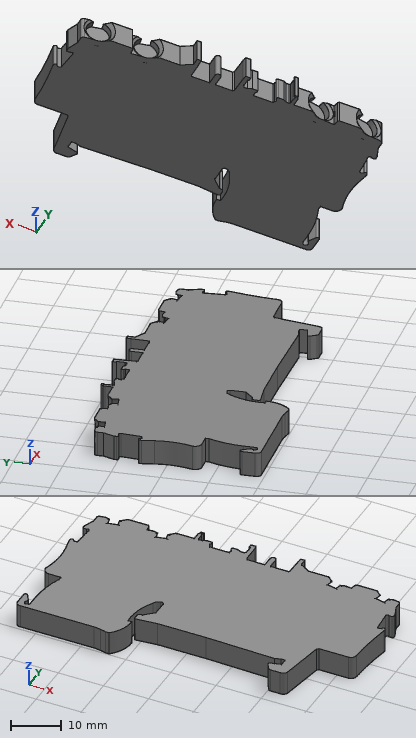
import cadquery as cq
import math

half_length = 34.9
height = 39.5
thickness = 5.2

terrace_level = 36.45
shelf_level = 35.0
shelf_lip_level = 35.1
saddle_level = 35.2
saddle_rim_level = 36.9
pin_floor_level = 34.6
step_level = 35.55
tooth_level = 29.8
ear_base_y = 24.8
left_underside = 12.8
right_underside = 13.55
base_level = 0.5
rail_level = 6.65
rail_crown_level = 7.05
claw_level = 2.8

shoulder_x = 33.5
shelf_start_x = 32.1
terrace_start_x = 27.4
terrace_end_x = 23.05
wall_x = 9.1
wall_thickness = 1.05
pin_x = 4.25
pin_width = 1.25

terrace_pitch = 10.7

hole_radius = 2.6
bore_depth = 1.4
hole_tilt = 12.0
hole_floor_x = 29.6
hole_floor_y = 33.75
hole_z = 2.8
countersink_depth = 0.85
countersink_radius = hole_radius + countersink_depth


def line(x, y):
    return ((x, y),)


def arc(through_x, through_y, x, y):
    return ((through_x, through_y), (x, y))


def polyline(*points):
    return [line(x, y) for x, y in points]


def mirrored(start, path):
    """The path reflected in X = 0 and run backwards; it ends at the reflected start."""
    ends = [start] + [step[-1] for step in path]
    steps = []
    for index in reversed(range(len(path))):
        points = path[index][:-1] + (ends[index],)
        steps.append(tuple((-x, y) for x, y in points))
    return steps


def side_edge():
    """Left edge from the ear up to the shoulder, past the latch tooth."""
    return [
        line(-half_length, 25.2),
        arc(-34.6, 25.6, -34.15, 25.3),
        arc(-33.75, 25.1, -33.25, 25.3),
        line(-32.9, 29.6),
        arc(-33.2, 30.0, -33.5, tooth_level),
        line(-34.15, tooth_level),
        arc(-34.4, 29.9, -34.45, 30.1),
        line(-34.45, 30.65),
        line(-shoulder_x, 33.0),
        line(-shoulder_x, 34.3),
        arc(-33.4, 34.8, -33.0, shelf_level),
    ]


def terrace_rise(offset):
    """Wire entry: a nearly flat shelf sweeping up to a terrace, moved inward by the offset."""
    return [
        line(-shelf_start_x + offset, shelf_lip_level),
        arc(-30.6 + offset, 35.3, -29.4 + offset, step_level),
        line(-28.6 + offset, 36.05),
        arc(-28.0 + offset, 36.3, -terrace_start_x + offset, terrace_level),
    ]


def terrace_end():
    """Inner end of the outer terrace, down to the next shelf."""
    return polyline((-terrace_end_x, terrace_level), (-22.85, 36.2), (-22.6, shelf_level))


def shoulder():
    """Left edge, outer terrace and the rise to the inner terrace."""
    return side_edge() + terrace_rise(0) + terrace_end() + terrace_rise(terrace_pitch)


def hook_and_saddle():
    """Thin hook, marker saddle with two snap lips, and the left wall of the pin pocket."""
    hook_top = 39.0
    hook = [
        line(-12.9, terrace_level),
        line(-12.9, 38.1),
        arc(-12.85, 38.4, -12.7, 38.55),
        line(-12.65, hook_top),
        line(-11.9, hook_top),
        line(-11.9, 38.55),
        line(-12.3, 38.55),
        line(-12.1, 37.8),
        line(-12.1, 36.75),
    ]
    saddle = [
        line(-11.9, terrace_level),
        line(-11.2, 36.5),
        line(-10.5, saddle_rim_level),
        line(-9.3, saddle_rim_level),
        arc(-8.95, 36.6, -9.1, 36.25),
        arc(-9.3, 35.9, -9.1, 35.6),
        line(-8.95, saddle_level),
        line(-4.55, saddle_level),
        line(-4.5, 36.05),
        line(-4.75, 36.3),
        line(-4.7, saddle_rim_level),
        line(-3.5, saddle_rim_level),
        line(-2.6, terrace_level),
        line(-1.8, terrace_level),
    ]
    left_wall = polyline(
        (-1.55, saddle_rim_level), (-1.55, 38.6), (-1.8, 38.6), (-1.8, height),
        (-0.7, height), (-0.55, 38.55), (-0.5, 34.85), (-0.2, pin_floor_level),
    )
    return hook + saddle + left_wall


def pin_and_wall():
    """Round-topped pin, the pocket floor and the right wall sloping down to the terrace."""
    pin_left = pin_x - pin_width / 2
    pin_right = pin_x + pin_width / 2
    pin_shoulder = 36.95
    pin = [
        line(pin_left, pin_floor_level),
        line(pin_left, pin_shoulder),
        arc(pin_x, pin_shoulder + pin_width / 2, pin_right, pin_shoulder),
        line(pin_right, pin_floor_level),
    ]
    wall = polyline(
        (wall_x - 0.15, pin_floor_level), (wall_x, 34.8), (wall_x + 0.1, 38.4), (wall_x + 0.15, height),
        (wall_x + wall_thickness, height), (wall_x + wall_thickness, 37.85), (12.4, terrace_level),
    )
    return pin + wall


def right_claw():
    """Right flank, underside and the fixed claw that grips the rail."""
    return [
        arc(34.1, 19.4, 33.75, 14.75),
        arc(33.4, 13.9, 32.55, right_underside),
        line(26.05, right_underside),
        line(25.65, 13.2),
        line(23.95, 3.6),
        arc(23.55, 3.0, 22.6, claw_level),
        line(20.55, claw_level),
        arc(20.25, 2.85, 20.05, 3.1),
        line(19.3, 4.25),
        arc(19.2, 4.7, 19.55, 4.9),
        line(21.7, 5.45),
        line(21.7, rail_crown_level),
        line(20.8, rail_crown_level),
        line(19.55, rail_level),
    ]


def rail_seat():
    """Slightly crowned rail seat and the pointed nose beside the spring slot."""
    return [
        line(4.2, rail_crown_level),
        line(-6.6, rail_crown_level),
        line(-11.2, 6.6),
        arc(-11.45, 6.7, -11.5, 7.0),
        line(-11.5, 7.55),
        arc(-11.4, 8.1, -10.8, 8.4),
        line(-10.55, 8.4),
        line(-8.5, 10.3),
    ]


def spring_foot():
    """Spring slot, rounded toe, flat base and the small release hook at the far left."""
    return [
        line(-8.5, 13.5),
        arc(-8.7, 13.9, -9.3, 14.0),
        arc(-10.0, 13.6, -10.5, 12.9),
        arc(-11.95, 9.6, -12.3, 5.4),
        line(-11.45, 5.4),
        arc(-12.15, 2.2, -13.8, 0.0),
        line(-14.6, 0.0),
        line(-15.85, 0.3),
        arc(-16.6, 0.4, -17.45, base_level),
        line(-33.7, base_level),
        arc(-34.6, 0.8, -34.85, 1.55),
        line(-34.85, 4.2),
        arc(-34.5, 4.7, -34.1, 4.5),
        line(-33.1, 2.85),
        line(-33.5, 2.2),
        arc(-33.0, 1.55, -32.35, 2.1),
        line(-32.35, 4.6),
        arc(-31.9, 8.4, -30.8, 12.0),
        line(-30.8, left_underside),
        line(-33.5, left_underside),
        arc(-34.5, 13.2, -half_length, 14.3),
        arc(-34.15, 18.5, -34.45, 22.35),
        line(-half_length, ear_base_y),
    ]


def housing():
    ear = (-half_length, ear_base_y)
    path = shoulder() + hook_and_saddle() + pin_and_wall()
    right_shoulder = mirrored(ear, shoulder())
    path += [line(terrace_start_x - terrace_pitch, terrace_level)] + right_shoulder
    path += right_claw() + rail_seat() + spring_foot()

    outline = cq.Workplane("XY").moveTo(*ear)
    for step in path:
        if len(step) == 1:
            outline = outline.lineTo(*step[0])
        else:
            outline = outline.threePointArc(*step)
    return outline.close().extrude(thickness)


def wire_hole(offset):
    """Cutter for a left-half blind hole with a 45 degree countersink, moved inward by the offset."""
    tilt = math.radians(hole_tilt)
    floor_center = cq.Vector(-hole_floor_x + offset, hole_floor_y, hole_z)
    axis = cq.Vector(-math.sin(tilt), math.cos(tilt), 0)
    bore_top = floor_center + axis * bore_depth
    bore = cq.Solid.makeCylinder(hole_radius, bore_depth, floor_center, axis)
    countersink = cq.Solid.makeCone(hole_radius, countersink_radius, countersink_depth, bore_top, axis)
    return cq.Workplane(bore).union(cq.Workplane(countersink))


result = housing()
for hole_offset in (0, terrace_pitch):
    left_hole = wire_hole(hole_offset)
    result = result.cut(left_hole).cut(left_hole.mirror("YZ"))